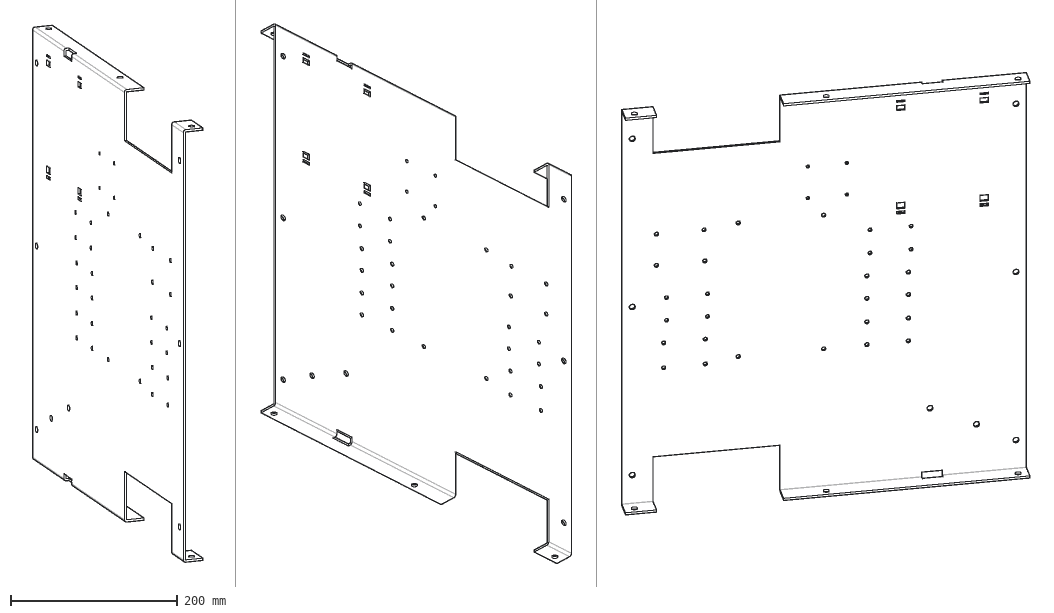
import cadquery as cq

WIDTH = 495.3
DEPTH = 25.4
HEIGHT = 539.75
THICKNESS = 3.048
INNER_BEND_RADIUS = 0.25
OUTER_BEND_RADIUS = INNER_BEND_RADIUS + THICKNESS

LEFT = -WIDTH / 2
RIGHT = WIDTH / 2
FRONT = -DEPTH / 2
BACK = DEPTH / 2
TOP = HEIGHT / 2

CUTOUT_HEIGHT = 63.5
TAB_WIDTH = 38.1
CUTOUT_LEFT = 53.975
CUTOUT_RIGHT = RIGHT - TAB_WIDTH

NOTCH_WIDTH = 25.4
NOTCH_CENTER_X = -132.2
NOTCH_HEIGHT = 9.3
NOTCH_DEPTH = 6.6

MOUNT_DIAMETER = 7.14
MOUNT_EDGE_OFFSET = 12.7
MOUNT_X = RIGHT - MOUNT_EDGE_OFFSET
MOUNT_PITCH_Z = 228.6
MOUNT_COLUMNS = (-MOUNT_X, MOUNT_X)
MOUNT_ROWS = (-MOUNT_PITCH_Z, 0, MOUNT_PITCH_Z)
FLANGE_HOLE_SETBACK = 9.525

CLIP_SLOT_WIDTH = 10.16
CLIP_SLOT_COLUMNS = (-196.1, -94.0)
CLIP_SLOT_ROWS = ((246.6, 1.95), (237.6, 6.45), (104.6, 7.95), (95.3, 3.3))

HOLE_GRIDS = (
    (3.81, (-27.8, 20.0), (169.3, 126.2)),
    (5.0, (0.6, 105.2), (101.1, -80.6)),
    (4.83, (147.1,), (96.05,)),
    (5.0, (205.4,), (96.05,)),
    (5.03, (146.1, 205.4), (53.6,)),
    (4.5, (-106.5, -56.1), (75.4, 43.9)),
    (5.03, (-103.2, -52.4), (13.1, -17.4, -49.4, -80.3)),
    (4.5, (142.9, 193.1), (8.5, -22.3)),
    (4.83, (145.5, 196.5), (-52.8, -86.5)),
    (MOUNT_DIAMETER, (-129.6,), (-174.6,)),
    (MOUNT_DIAMETER, (-186.5,), (-202.2,)),
)


def box_between(x_range, y_range, z_range):
    """Axis-aligned box spanning the given ranges."""
    size = [high - low for low, high in (x_range, y_range, z_range)]
    corner = cq.Vector(x_range[0], y_range[0], z_range[0])
    return cq.Workplane(obj=cq.Solid.makeBox(*size, corner))


def folded_sheet():
    """Full-width channel: plate with a top and a bottom flange and round bends."""
    outside = box_between((LEFT, RIGHT), (FRONT, BACK), (-TOP, TOP))
    outside = outside.edges("|X and <Y").fillet(OUTER_BEND_RADIUS)
    inside = box_between(
        (LEFT, RIGHT),
        (FRONT + THICKNESS, BACK + THICKNESS),
        (-TOP + THICKNESS, TOP - THICKNESS),
    )
    inside = inside.edges("|X and <Y").fillet(INNER_BEND_RADIUS)
    return outside.cut(inside)


def edge_openings():
    """Large cutout and bend notch at the top edge, mirrored to the bottom edge."""
    cutout = box_between((CUTOUT_LEFT, CUTOUT_RIGHT), (FRONT, BACK), (TOP - CUTOUT_HEIGHT, TOP))
    notch = box_between(
        (NOTCH_CENTER_X - NOTCH_WIDTH / 2, NOTCH_CENTER_X + NOTCH_WIDTH / 2),
        (FRONT, FRONT + NOTCH_DEPTH),
        (TOP - NOTCH_HEIGHT, TOP),
    )
    upper = cutout.add(notch).combine()
    return upper.add(upper.mirror("XY")).combine()


def plate_workplane():
    """Sketch plane on the front face: local x is X, local y is Z, normal is -Y."""
    return cq.Workplane("XZ", origin=(0, FRONT, 0))


def plate_holes(diameter, columns, rows):
    """Cylinders through the plate at every column and row."""
    centers = [(x, z) for x in columns for z in rows]
    return plate_workplane().pushPoints(centers).circle(diameter / 2).extrude(-THICKNESS)


def flange_holes():
    """Cylinders through both flanges."""
    centers = [(x, BACK - FLANGE_HOLE_SETBACK) for x in (-MOUNT_X, 0, MOUNT_X)]
    plane = cq.Workplane("XY", origin=(0, 0, -TOP))
    return plane.pushPoints(centers).circle(MOUNT_DIAMETER / 2).extrude(HEIGHT)


def clip_slots(center_z, height):
    """One row of rectangular slots through the plate."""
    centers = [(x, center_z) for x in CLIP_SLOT_COLUMNS]
    return plate_workplane().pushPoints(centers).rect(CLIP_SLOT_WIDTH, height).extrude(-THICKNESS)


panel = folded_sheet().cut(edge_openings()).cut(flange_holes())
panel = panel.cut(plate_holes(MOUNT_DIAMETER, MOUNT_COLUMNS, MOUNT_ROWS))
for diameter, columns, rows in HOLE_GRIDS:
    panel = panel.cut(plate_holes(diameter, columns, rows))
for center_z, height in CLIP_SLOT_ROWS:
    panel = panel.cut(clip_slots(center_z, height))

result = panel